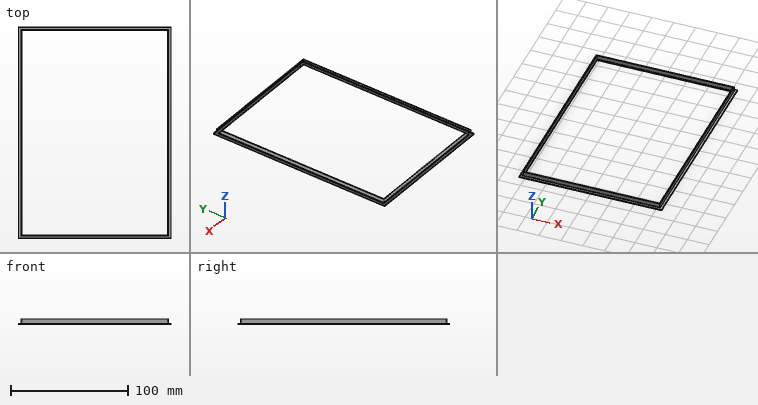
import cadquery as cq

LENGTH = 180.0
WIDTH = 130.0
HEIGHT = 5.0

FLANGE_THICKNESS = 1.0
FLANGE_OVERHANG = 2.0
WALL_THICKNESS = 1.0

wall_width = WIDTH - 2 * FLANGE_OVERHANG
wall_length = LENGTH - 2 * FLANGE_OVERHANG
opening_width = wall_width - 2 * WALL_THICKNESS
opening_length = wall_length - 2 * WALL_THICKNESS


def rectangular_ring(outer_width, outer_length, bottom, top):
    """Ring around the shared opening, between two heights."""
    return (
        cq.Workplane("XY", origin=(0, 0, bottom))
        .rect(outer_width, outer_length)
        .rect(opening_width, opening_length)
        .extrude(top - bottom)
    )


flange = rectangular_ring(WIDTH, LENGTH, 0, FLANGE_THICKNESS)

wall = rectangular_ring(wall_width, wall_length, FLANGE_THICKNESS, HEIGHT)

result = cq.Compound.makeCompound([flange.val(), wall.val()])